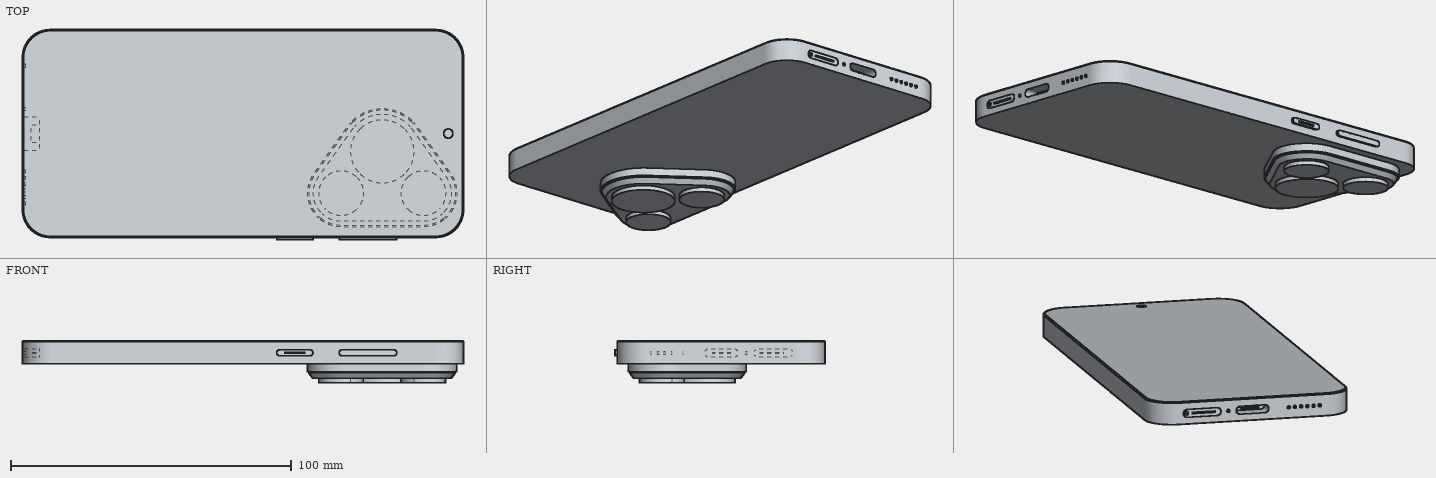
import cadquery as cq
import math

LENGTH = 157.6
WIDTH = 74.3
THICKNESS = 8.3
CORNER_RADIUS = 10.0
SCREEN_CHAMFER = 0.45
SIDE_HEIGHT = THICKNESS - SCREEN_CHAMFER
SIDE_AXIS_Z = SIDE_HEIGHT / 2

SELFIE_X = 73.3
SELFIE_DIAMETER = 3.3
SELFIE_DEPTH = 0.5

OVERALL_DEPTH = 15.1
CAMERA_X = 49.65
SMALL_LENS_SPREAD = 29.4
SMALL_LENS_Y = -21.2
SMALL_LENS_RADIUS = 8.0
LARGE_LENS_Y = -6.3
LARGE_LENS_RADIUS = 11.3
ISLAND_MARGIN = 4.0
ISLAND_STEP_INSET = 0.5
ISLAND_BASE_HEIGHT = 2.8
ISLAND_STEP_HEIGHT = 2.4
ISLAND_CHAMFER_HEIGHT = 1.9
ISLAND_CHAMFER_INSET = 1.5
ISLAND_HEIGHT = ISLAND_BASE_HEIGHT + ISLAND_STEP_HEIGHT
LENS_HEIGHT = OVERALL_DEPTH - THICKNESS - ISLAND_HEIGHT

LENSES = [
    (CAMERA_X - SMALL_LENS_SPREAD / 2, SMALL_LENS_Y, SMALL_LENS_RADIUS),
    (CAMERA_X + SMALL_LENS_SPREAD / 2, SMALL_LENS_Y, SMALL_LENS_RADIUS),
    (CAMERA_X, LARGE_LENS_Y, LARGE_LENS_RADIUS),
]

PORT_HEIGHT = 2.9
USB_LENGTH = 12.0
USB_DEPTH = 6.0
TONGUE_LENGTH = 6.4
TONGUE_THICKNESS = 0.5
TONGUE_REACH = 3.0
TRAY_Y = 18.6
TRAY_LENGTH = 13.9
TRAY_DEPTH = 0.1
TRAY_SLOT_Y = 18.0
TRAY_SLOT_LENGTH = 8.6
EJECT_HOLE_Y = 24.3
EJECT_HOLE_DIAMETER = 1.2
EJECT_HOLE_DEPTH = 1.0
SLOT_WIDTH = 0.5
SLOT_DEPTH = 0.1
SOUND_HOLE_DIAMETER = 1.0
SOUND_HOLE_DEPTH = 1.0
MICROPHONE_Y = 8.9
SPEAKER_FIRST_Y = -13.4
SPEAKER_PITCH = 2.3
SPEAKER_COUNT = 6

BUTTON_HEIGHT = 2.1
BUTTON_PROTRUSION = 0.8
POWER_X = 18.5
POWER_LENGTH = 13.0
POWER_SLOT_LENGTH = 7.2
VOLUME_X = 44.6
VOLUME_LENGTH = 20.6


def end_face_plane(inset=0.0):
    """Sketch plane on the -X end; local x is -Y, local y is Z, normal points out."""
    return cq.Plane(origin=(-LENGTH / 2 + inset, 0, SIDE_AXIS_Z), xDir=(0, -1, 0), normal=(-1, 0, 0))


def side_face_plane(x, outset=0.0):
    """Sketch plane on the -Y side at x; local x is X, local y is Z, normal points out."""
    return cq.Plane(origin=(x, -WIDTH / 2 - outset, SIDE_AXIS_Z), xDir=(1, 0, 0), normal=(0, -1, 0))


def end_slot(y, length, height, depth, inset=0.0):
    """Round-ended cutter sunk into the -X end."""
    return cq.Workplane(end_face_plane(inset)).center(-y, 0).slot2D(length, height).extrude(-depth)


def end_hole(y, diameter, depth):
    """Round cutter sunk into the -X end."""
    return cq.Workplane(end_face_plane()).center(-y, 0).circle(diameter / 2).extrude(-depth)


def island_outline(plane_z, inset):
    """Outline wrapped round the three lenses: an arc about each, joined by tangent lines."""
    circles = [(x, y, radius + ISLAND_MARGIN - inset) for x, y, radius in LENSES]
    count = len(circles)

    normals = []
    for index in range(count):
        x1, y1, r1 = circles[index]
        x2, y2, r2 = circles[(index + 1) % count]
        heading = math.atan2(y2 - y1, x2 - x1)
        spacing = math.hypot(x2 - x1, y2 - y1)
        normals.append(heading - math.acos((r1 - r2) / spacing))

    def on_circle(index, angle):
        x, y, radius = circles[index]
        return (x + radius * math.cos(angle), y + radius * math.sin(angle))

    outline = cq.Workplane("XY", origin=(0, 0, plane_z)).moveTo(*on_circle(0, normals[0]))
    for index in range(count):
        following = (index + 1) % count
        start = normals[index]
        turn = (normals[following] - start) % math.tau
        outline = outline.lineTo(*on_circle(following, start))
        outline = outline.threePointArc(
            on_circle(following, start + turn / 2),
            on_circle(following, start + turn),
        )
    return outline.close()


def make_slab():
    slab = cq.Workplane("XY").rect(LENGTH, WIDTH).extrude(THICKNESS)
    slab = slab.edges("|Z").fillet(CORNER_RADIUS)
    slab = slab.faces(">Z").chamfer(SCREEN_CHAMFER)
    selfie_hole = (
        cq.Workplane("XY", origin=(SELFIE_X, 0, THICKNESS))
        .circle(SELFIE_DIAMETER / 2)
        .extrude(-SELFIE_DEPTH)
    )
    return slab.cut(selfie_hole)


def make_rear_camera():
    base = island_outline(0, 0).extrude(-ISLAND_BASE_HEIGHT)
    step = island_outline(-ISLAND_BASE_HEIGHT, ISLAND_STEP_INSET).extrude(-ISLAND_STEP_HEIGHT)
    step = step.faces("<Z").chamfer(ISLAND_CHAMFER_HEIGHT, ISLAND_CHAMFER_INSET)
    camera = base.union(step)
    for x, y, radius in LENSES:
        lens = cq.Workplane("XY", origin=(x, y, -ISLAND_HEIGHT)).circle(radius).extrude(-LENS_HEIGHT)
        camera = camera.union(lens)
    return camera


def cut_usb_port(body):
    tongue = (
        cq.Workplane(end_face_plane(USB_DEPTH))
        .rect(TONGUE_LENGTH, TONGUE_THICKNESS)
        .extrude(TONGUE_REACH)
    )
    return body.cut(end_slot(0, USB_LENGTH, PORT_HEIGHT, USB_DEPTH).cut(tongue))


def cut_sim_tray(body):
    body = body.cut(end_slot(TRAY_Y, TRAY_LENGTH, PORT_HEIGHT, TRAY_DEPTH))
    body = body.cut(end_slot(TRAY_SLOT_Y, TRAY_SLOT_LENGTH, SLOT_WIDTH, SLOT_DEPTH, TRAY_DEPTH))
    return body.cut(end_hole(EJECT_HOLE_Y, EJECT_HOLE_DIAMETER, EJECT_HOLE_DEPTH))


def cut_sound_holes(body):
    speaker_ys = [SPEAKER_FIRST_Y - index * SPEAKER_PITCH for index in range(SPEAKER_COUNT)]
    for y in [MICROPHONE_Y, *speaker_ys]:
        body = body.cut(end_hole(y, SOUND_HOLE_DIAMETER, SOUND_HOLE_DEPTH))
    return body


def make_phone_body():
    body = make_slab().union(make_rear_camera())
    body = cut_usb_port(body)
    body = cut_sim_tray(body)
    return cut_sound_holes(body)


def make_button(x, length):
    """Round-ended button standing on the -Y side."""
    return cq.Workplane(side_face_plane(x)).slot2D(length, BUTTON_HEIGHT).extrude(BUTTON_PROTRUSION)


def make_power_button():
    slot = (
        cq.Workplane(side_face_plane(POWER_X, BUTTON_PROTRUSION))
        .slot2D(POWER_SLOT_LENGTH, SLOT_WIDTH)
        .extrude(-SLOT_DEPTH)
    )
    return make_button(POWER_X, POWER_LENGTH).cut(slot)


def make_volume_button():
    return make_button(VOLUME_X, VOLUME_LENGTH)


phone_body = make_phone_body()
power_button = make_power_button()
volume_button = make_volume_button()

result = cq.Compound.makeCompound([phone_body.val(), power_button.val(), volume_button.val()])